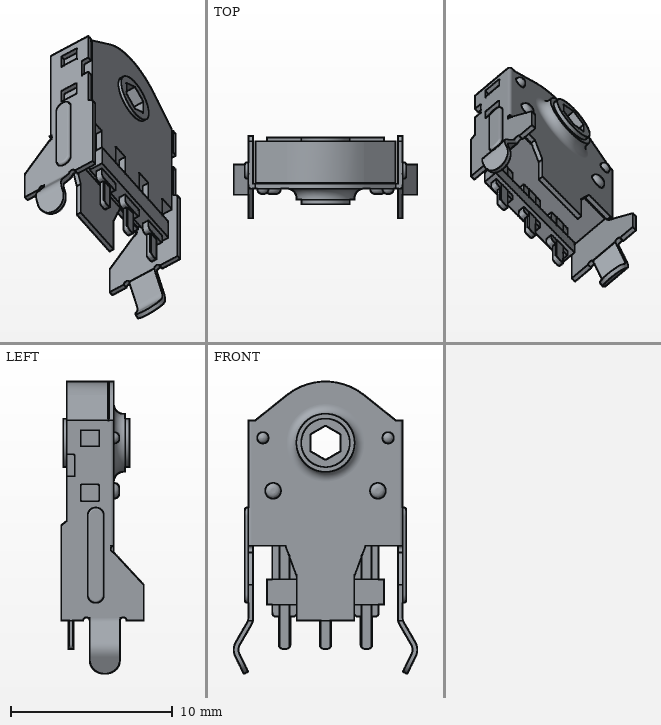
import cadquery as cq
import math

SHEET = 0.3
COVER_HALF_WIDTH = 4.78
BEND_RADIUS = 0.2
CROWN_RADIUS = 3.8
SHOULDER_Z = 1.4
SHOULDER_HALF_WIDTH = 4.35
WING_BOTTOM = -6.37
PLATE_BOTTOM = -11.0
TONGUE_HALF_WIDTH = 1.8
TONGUE_SHOULDER_Z = -8.24
WING_INNER_X = 2.48

HOUSING_GAP = 0.05
HOUSING_FRONT = SHEET + HOUSING_GAP
HOUSING_BACK = 2.93

SHAFT_DIAMETER = 3.0
SHAFT_FRONT = -0.98
SHAFT_BACK = 3.15
HEX_FLATS = 1.83
COLLAR_DIAMETER = 3.6
COLLAR_FRONT = -0.69
COLLAR_FLARE = 0.6

RIVET_HEIGHT = 0.35
RIVETS = [(3.87, 0.3, 0.7, 0.33), (3.24, -2.97, 0.98, 0.33)]

PLATE_BACK = 3.25
PLATE_FRONT = -1.85
PLATE_STEP_TOP = -4.83
PLATE_STEP_BOTTOM = -5.1
FOOT_TOP = -8.78
FOOT_SLOPE_TOP = -6.79
WINDOW_WIDTH = 1.15
WINDOW_Y = 1.48
UPPER_WINDOW_Z = 0.29
UPPER_WINDOW_HEIGHT = 1.0
LOWER_WINDOW_Z = -3.1
LOWER_WINDOW_HEIGHT = 1.05
WINDOW_ROUNDING = 0.1
NOTCH_DEPTH = 0.5
NOTCH_TOP = -0.7
NOTCH_BOTTOM = -2.08

BEAD_Y = 1.12
BEAD_WIDTH = 1.01
BEAD_TOP = -4.0
BEAD_BOTTOM = -9.9
BEAD_HEIGHT = 0.22
BEAD_ROUNDING = 0.15

CLIP_Y = 0.56
CLIP_WIDTH = 1.88
CLIP_TOP = -10.82
CLIP_REACH = 5.68
CLIP_UPPER_ANGLE = 30.0
CLIP_LOWER_ANGLE = 26.0
CLIP_UPPER_RADIUS = 0.75
CLIP_LOWER_RADIUS = 0.78
PART_BOTTOM = CROWN_RADIUS - 18.1
RELIEF_RADIUS = 0.2

BLOCK_HALF_WIDTH = 3.62
BLOCK_TOP = -8.45
BLOCK_BOTTOM = -10.01
BLOCK_FRONT = 2.25
BLOCK_BACK = 3.17
PIN_PITCH = 2.53
PIN_WIDTH = 0.75
PIN_FRONT = 2.48
PIN_BACK = 2.82
PIN_BOTTOM = -12.76
PIN_CHAMFER = 0.07
PIN_TIP_ROUNDING = 0.3
LEG_WIDTH = 1.52
LEG_FRONT = 2.5
LEG_BOTTOM = -10.75
LEG_ROUNDING = 0.22


def box(x0, x1, y0, y1, z0, z1):
    """Box between opposite corners."""
    return cq.Workplane("XY").box(x1 - x0, y1 - y0, z1 - z0, centered=False).translate((x0, y0, z0))


def rod(diameter, y0, y1, x=0.0, z=0.0):
    """Cylinder along Y."""
    return cq.Workplane("XZ", origin=(x, y0, z)).circle(diameter / 2).extrude(y0 - y1)


def both_sides(shape):
    """The shape together with its mirror image across X = 0."""
    return shape.union(shape.mirror("YZ"))


def crowned_slab(y0, y1):
    """Slab with straight slopes and a crown that the slopes meet tangentially."""
    distance = math.hypot(SHOULDER_HALF_WIDTH, SHOULDER_Z)
    angle = math.atan2(SHOULDER_Z, SHOULDER_HALF_WIDTH) + math.acos(CROWN_RADIUS / distance)
    tangent_x = CROWN_RADIUS * math.cos(angle)
    tangent_z = CROWN_RADIUS * math.sin(angle)
    return (
        cq.Workplane("XZ", origin=(0, y0, 0))
        .moveTo(-SHOULDER_HALF_WIDTH, WING_BOTTOM)
        .lineTo(-SHOULDER_HALF_WIDTH, SHOULDER_Z)
        .lineTo(-tangent_x, tangent_z)
        .threePointArc((0, CROWN_RADIUS), (tangent_x, tangent_z))
        .lineTo(SHOULDER_HALF_WIDTH, SHOULDER_Z)
        .lineTo(SHOULDER_HALF_WIDTH, WING_BOTTOM)
        .close()
        .extrude(y0 - y1)
    )


def side_plate():
    """Left side plate with its foot, windows, rear notch and round reliefs."""
    inner_x = SHEET - COVER_HALF_WIDTH
    plate = (
        cq.Workplane("YZ", origin=(-COVER_HALF_WIDTH, 0, 0))
        .polyline([
            (0, SHOULDER_Z),
            (HOUSING_BACK, SHOULDER_Z),
            (HOUSING_BACK, PLATE_STEP_TOP),
            (PLATE_BACK, PLATE_STEP_BOTTOM),
            (PLATE_BACK, PLATE_BOTTOM),
            (PLATE_FRONT, PLATE_BOTTOM),
            (PLATE_FRONT, FOOT_TOP),
            (0, FOOT_SLOPE_TOP),
        ])
        .close()
        .extrude(SHEET)
    )

    def cutter(y, z, height):
        return box(-COVER_HALF_WIDTH, inner_x, y - WINDOW_WIDTH / 2, y + WINDOW_WIDTH / 2,
                   z - height / 2, z + height / 2)

    upper_window = cutter(WINDOW_Y, UPPER_WINDOW_Z, UPPER_WINDOW_HEIGHT)
    lower_window = cutter(WINDOW_Y, LOWER_WINDOW_Z, LOWER_WINDOW_HEIGHT).edges("|X").fillet(WINDOW_ROUNDING)
    notch = (
        box(-COVER_HALF_WIDTH, inner_x, HOUSING_BACK - NOTCH_DEPTH, HOUSING_BACK, NOTCH_BOTTOM, NOTCH_TOP)
        .edges("|X and <Y and >Z")
        .fillet(WINDOW_ROUNDING)
    )
    relief_offset = CLIP_WIDTH / 2 + RELIEF_RADIUS
    reliefs = (
        cq.Workplane("YZ", origin=(-COVER_HALF_WIDTH, CLIP_Y, PLATE_BOTTOM))
        .pushPoints([(-relief_offset, 0), (relief_offset, 0)])
        .circle(RELIEF_RADIUS)
        .extrude(SHEET)
    )
    bend_relief = (
        cq.Workplane("YZ", origin=(-COVER_HALF_WIDTH, 0, WING_BOTTOM - RELIEF_RADIUS))
        .circle(RELIEF_RADIUS)
        .extrude(SHEET)
    )
    plate = plate.cut(bend_relief)
    return plate.cut(upper_window).cut(lower_window).cut(notch).cut(reliefs)


def bead():
    """Rounded raised rib on the left side plate."""
    return (
        cq.Workplane("YZ", origin=(-COVER_HALF_WIDTH, BEAD_Y, (BEAD_TOP + BEAD_BOTTOM) / 2))
        .slot2D(BEAD_TOP - BEAD_BOTTOM, BEAD_WIDTH, 90)
        .extrude(-BEAD_HEIGHT)
        .faces("<X")
        .edges()
        .fillet(BEAD_ROUNDING)
    )


def clip():
    """Left spring clip: splays outward, bends back inward and ends in a round tip."""
    upper = math.radians(CLIP_UPPER_ANGLE)
    lower = math.radians(CLIP_LOWER_ANGLE)
    start_x = SHEET / 2 - COVER_HALF_WIDTH
    crest_x = SHEET / 2 - CLIP_REACH

    def upper_bend(angle):
        return (start_x - CLIP_UPPER_RADIUS * (1 - math.cos(angle)),
                CLIP_TOP - CLIP_UPPER_RADIUS * math.sin(angle))

    leg_end_x = crest_x + CLIP_LOWER_RADIUS * (1 - math.cos(upper))
    leg_start_x, leg_start_z = upper_bend(upper)
    leg_end_z = leg_start_z - (leg_start_x - leg_end_x) / math.tan(upper)
    bend_z = leg_end_z - CLIP_LOWER_RADIUS * math.sin(upper)
    tip_x = crest_x + CLIP_LOWER_RADIUS * (1 - math.cos(lower))
    tip_z = bend_z - CLIP_LOWER_RADIUS * math.sin(lower)

    path = (
        cq.Workplane("XZ", origin=(0, CLIP_Y, 0))
        .moveTo(start_x, CLIP_TOP)
        .threePointArc(upper_bend(upper / 2), (leg_start_x, leg_start_z))
        .lineTo(leg_end_x, leg_end_z)
        .threePointArc((crest_x, bend_z), (tip_x, tip_z))
    )
    strip = cq.Workplane("XY", origin=(start_x, CLIP_Y, CLIP_TOP)).rect(SHEET, CLIP_WIDTH).sweep(path)

    tip_drop = tip_z - PART_BOTTOM - SHEET / 2 * math.sin(lower)
    straight = tip_drop / math.cos(lower) - CLIP_WIDTH / 2
    tip_plane = cq.Plane(
        origin=(tip_x, CLIP_Y, tip_z),
        xDir=(math.sin(lower), 0, -math.cos(lower)),
        normal=(math.cos(lower), 0, math.sin(lower)),
    )
    half = CLIP_WIDTH / 2
    tip = (
        cq.Workplane(tip_plane)
        .moveTo(0, -half)
        .lineTo(straight, -half)
        .threePointArc((straight + half, 0), (straight, half))
        .lineTo(0, half)
        .close()
        .extrude(SHEET / 2, both=True)
    )
    return strip.union(tip)


def cover():
    """Front cover with a tapered tongue, side plates and clips."""
    shoulders = box(-COVER_HALF_WIDTH, COVER_HALF_WIDTH, 0, SHEET, WING_BOTTOM, SHOULDER_Z)
    front = crowned_slab(0, SHEET).union(shoulders)
    tongue = (
        cq.Workplane("XZ")
        .polyline([
            (-WING_INNER_X, WING_BOTTOM),
            (WING_INNER_X, WING_BOTTOM),
            (TONGUE_HALF_WIDTH, TONGUE_SHOULDER_Z),
            (TONGUE_HALF_WIDTH, PLATE_BOTTOM),
            (-TONGUE_HALF_WIDTH, PLATE_BOTTOM),
            (-TONGUE_HALF_WIDTH, TONGUE_SHOULDER_Z),
        ])
        .close()
        .extrude(-SHEET)
    )
    corner = box(-COVER_HALF_WIDTH, BEND_RADIUS - COVER_HALF_WIDTH, 0, BEND_RADIUS, WING_BOTTOM, SHOULDER_Z)
    bend = (
        cq.Workplane("XY", origin=(BEND_RADIUS - COVER_HALF_WIDTH, BEND_RADIUS, WING_BOTTOM))
        .circle(BEND_RADIUS)
        .extrude(SHOULDER_Z - WING_BOTTOM)
    )
    sheet = front.union(tongue).union(both_sides(side_plate())).cut(both_sides(corner.cut(bend)))
    return sheet.union(both_sides(bead())).union(both_sides(clip()))


def collar():
    """Flared collar around the shaft, revolved about the hub axis."""
    radius = COLLAR_DIAMETER / 2
    flare_middle = COLLAR_FLARE * (1 - math.sqrt(0.5))
    return (
        cq.Workplane("XY")
        .moveTo(0, 0)
        .lineTo(radius + COLLAR_FLARE, 0)
        .threePointArc((radius + flare_middle, -flare_middle), (radius, -COLLAR_FLARE))
        .lineTo(radius, COLLAR_FRONT)
        .lineTo(0, COLLAR_FRONT)
        .close()
        .revolve(360, (0, 0, 0), (0, 1, 0))
    )


def rivets():
    """Round-headed pins that join the housing to the cover."""
    heads = cq.Workplane("XY")
    for x, z, diameter, rounding in RIVETS:
        head = rod(diameter, -RIVET_HEIGHT, HOUSING_FRONT, x, z).faces("<Y").edges().fillet(rounding)
        heads = heads.union(both_sides(head))
    return heads


def terminals():
    """Cross block with three legs, each holding a chamfered pin."""
    parts = box(-BLOCK_HALF_WIDTH, BLOCK_HALF_WIDTH, BLOCK_FRONT, BLOCK_BACK, BLOCK_BOTTOM, BLOCK_TOP)
    leg = (
        box(-LEG_WIDTH / 2, LEG_WIDTH / 2, LEG_FRONT, HOUSING_BACK, LEG_BOTTOM, WING_BOTTOM)
        .edges("|Y and <Z")
        .fillet(LEG_ROUNDING)
    )
    pin = (
        box(-PIN_WIDTH / 2, PIN_WIDTH / 2, PIN_FRONT, PIN_BACK, PIN_BOTTOM, WING_BOTTOM)
        .edges("|Z")
        .chamfer(PIN_CHAMFER)
    )
    tip_profile = (
        box(-PIN_WIDTH / 2, PIN_WIDTH / 2, PIN_FRONT, PIN_BACK, PIN_BOTTOM, WING_BOTTOM)
        .edges("|Y and <Z")
        .fillet(PIN_TIP_ROUNDING)
    )
    pin = pin.intersect(tip_profile)
    leg_with_pin = leg.union(pin)
    for x in (-PIN_PITCH, 0, PIN_PITCH):
        parts = parts.union(leg_with_pin.translate((x, 0, 0)))
    return parts


housing = crowned_slab(HOUSING_FRONT, HOUSING_BACK)
shaft = rod(SHAFT_DIAMETER, SHAFT_FRONT, SHAFT_BACK)
hex_socket = (
    cq.Workplane("XZ", origin=(0, SHAFT_BACK, 0))
    .transformed(rotate=(0, 0, 90))
    .polygon(6, HEX_FLATS / math.cos(math.pi / 6))
    .extrude(SHAFT_BACK - SHAFT_FRONT)
)

result = (
    cover()
    .union(collar())
    .union(housing)
    .union(rivets())
    .union(terminals())
    .union(shaft)
    .cut(hex_socket)
)